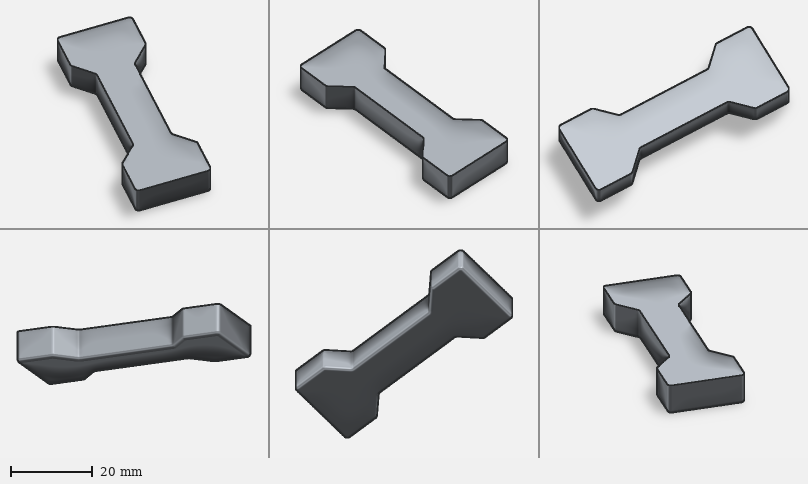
import cadquery as cq

length = 54.45
width = 19.8
height = 8.0

neck_width = 10.0
head_length = 9.8
edge_radius = 1.0

taper = (width - neck_width) / 2
half_length = length / 2
half_width = width / 2
half_neck = neck_width / 2
head_x = half_length - head_length
neck_x = head_x - taper

quarter = [
    (half_length, half_width),
    (head_x, half_width),
    (neck_x, half_neck),
]
upper_half = quarter + [(-x, y) for x, y in reversed(quarter)]
outline = upper_half + [(x, -y) for x, y in reversed(upper_half)]

body = cq.Workplane("XY").polyline(outline).close().extrude(height)

rounded_body = body.edges("|Z").fillet(edge_radius)
result = rounded_body.faces("<Z").edges().fillet(edge_radius)